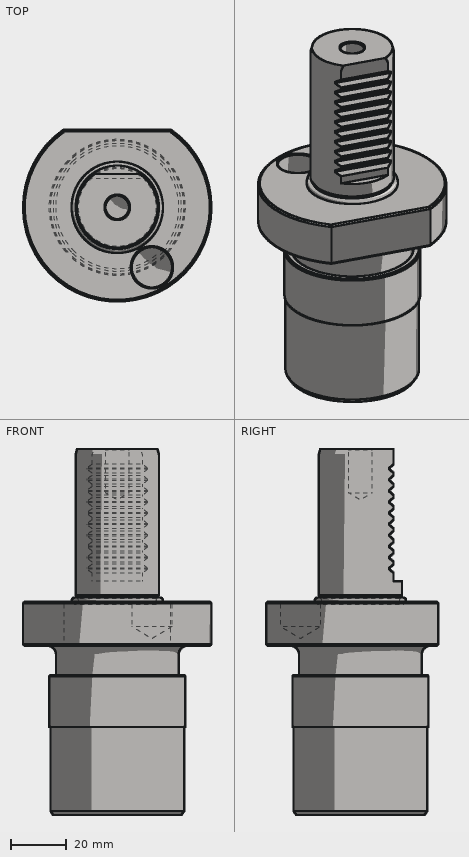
import cadquery as cq
import math

total_height = 132.0
flange_top = 77.0
flange_thickness = 16.0
flange_bottom = flange_top - flange_thickness
collar_top = 50.5
collar_bottom = 31.8

shank_radius = 15.0
flange_diameter = 68.0
flange_radius = flange_diameter / 2
neck_radius = 22.2
collar_radius = 24.5
base_radius = 24.2

shank_chamfer_height = 2.0
shank_chamfer_angle = math.radians(15)
shank_chamfer_width = shank_chamfer_height * math.tan(shank_chamfer_angle)
flange_chamfer = 0.7
neck_fillet = 3.0
collar_chamfer = 0.5
base_chamfer_width = 1.0
base_chamfer_height = 1.6

ring_outer_radius = 16.5
ring_section_radius = 1.25
ring_center_radius = ring_outer_radius - ring_section_radius
ring_center_rise = 0.3
ring_center_height = flange_top + ring_center_rise

undercut_radius = 14.4
undercut_chamfer_top = 79.3
undercut_chamfer_bottom = undercut_chamfer_top - (shank_radius - undercut_radius)

flange_width_across_flat = 62.0
flange_flat_y = flange_width_across_flat - flange_radius
shank_flat_y = 12.0
shank_flat_bottom = 84.3

notch_count = 10
first_notch_height = 88.8
last_notch_height = 124.9
notch_pitch = (last_notch_height - first_notch_height) / (notch_count - 1)
notch_depth = 1.6
notch_mouth_width = 3.2
notch_floor_width = 0.4

drill_point_angle = 118.0
hole_chamfer = 0.4
center_hole_radius = 4.2
center_hole_depth = 15.8
flange_hole_radius = 7.3
flange_hole_depth = 9.0
flange_hole_circle_radius = 25.0
flange_hole_angle = math.radians(-60)


def make_turned_core():
    """Revolve the stepped outline from the base up to the shank end, without the flange rim."""
    outline = (
        cq.Workplane("XZ")
        .moveTo(0, 0)
        .lineTo(base_radius - base_chamfer_width, 0)
        .lineTo(base_radius, base_chamfer_height)
        .lineTo(base_radius, collar_bottom)
        .lineTo(collar_radius, collar_bottom)
        .lineTo(collar_radius, collar_top - collar_chamfer)
        .lineTo(collar_radius - collar_chamfer, collar_top)
        .lineTo(neck_radius, collar_top)
        .lineTo(neck_radius, flange_bottom - neck_fillet)
        .radiusArc((neck_radius + neck_fillet, flange_bottom), neck_fillet)
        .lineTo(neck_radius + neck_fillet, flange_top)
        .lineTo(undercut_radius, flange_top)
        .lineTo(undercut_radius, undercut_chamfer_bottom)
        .lineTo(shank_radius, undercut_chamfer_top)
        .lineTo(shank_radius, total_height - shank_chamfer_height)
        .lineTo(shank_radius - shank_chamfer_width, total_height)
        .lineTo(0, total_height)
        .close()
    )
    return outline.revolve(360, (0, 0, 0), (0, 1, 0))


def make_flat_cutter(flat_y, bottom, top):
    """Block that removes everything beyond flat_y between two heights."""
    return (
        cq.Workplane("XY")
        .workplane(offset=bottom)
        .center(0, flat_y)
        .rect(2 * flange_radius, 2 * flange_radius)
        .extrude(top - bottom)
        .translate((0, flange_radius, 0))
    )


def make_flange():
    """Disc with a flat on its +Y side and broken edges around both faces."""
    disc = cq.Workplane("XY").workplane(offset=flange_bottom).circle(flange_radius).extrude(flange_thickness)
    disc = disc.cut(make_flat_cutter(flange_flat_y, flange_bottom, flange_top))
    return disc.faces("<Z or >Z").edges().chamfer(flange_chamfer)


def make_notch_cutter(height):
    """Trapezoidal bar along X that cuts one notch into the shank flat."""
    floor_y = shank_flat_y - notch_depth
    half_floor = notch_floor_width / 2
    half_mouth = notch_mouth_width / 2
    return (
        cq.Workplane("YZ")
        .moveTo(floor_y, height - half_floor)
        .lineTo(shank_flat_y, height - half_mouth)
        .lineTo(shank_flat_y, height + half_mouth)
        .lineTo(floor_y, height + half_floor)
        .close()
        .extrude(shank_radius, both=True)
    )


def make_drill_cutter(x, y, top, radius, depth):
    """Blind hole with a chamfered mouth and a conical end below its full depth."""
    point_height = radius / math.tan(math.radians(drill_point_angle / 2))
    return (
        cq.Workplane("XZ")
        .moveTo(0, 0)
        .lineTo(radius + hole_chamfer, 0)
        .lineTo(radius, -hole_chamfer)
        .lineTo(radius, -depth)
        .lineTo(0, -depth - point_height)
        .close()
        .revolve(360, (0, 0, 0), (0, 1, 0))
        .translate((x, y, top))
    )


def make_seal_ring():
    """Round-section ring around the foot of the shank."""
    return (
        cq.Workplane("XZ")
        .center(ring_center_radius, ring_center_height)
        .circle(ring_section_radius)
        .revolve(360, (-ring_center_radius, 0, 0), (-ring_center_radius, 1, 0))
    )


def make_holder(ring):
    """Tool holder body with its flange, flats, notches, holes and ring seat."""
    body = make_turned_core().union(make_flange())

    body = body.cut(make_flat_cutter(shank_flat_y, shank_flat_bottom, total_height))
    for index in range(notch_count):
        body = body.cut(make_notch_cutter(first_notch_height + index * notch_pitch))

    body = body.cut(make_drill_cutter(0, 0, total_height, center_hole_radius, center_hole_depth))
    flange_hole_x = flange_hole_circle_radius * math.cos(flange_hole_angle)
    flange_hole_y = flange_hole_circle_radius * math.sin(flange_hole_angle)
    body = body.cut(
        make_drill_cutter(flange_hole_x, flange_hole_y, flange_top, flange_hole_radius, flange_hole_depth)
    )

    return body.cut(ring)


seal_ring = make_seal_ring()
holder = make_holder(seal_ring)

result = cq.Compound.makeCompound([holder.val(), seal_ring.val()])